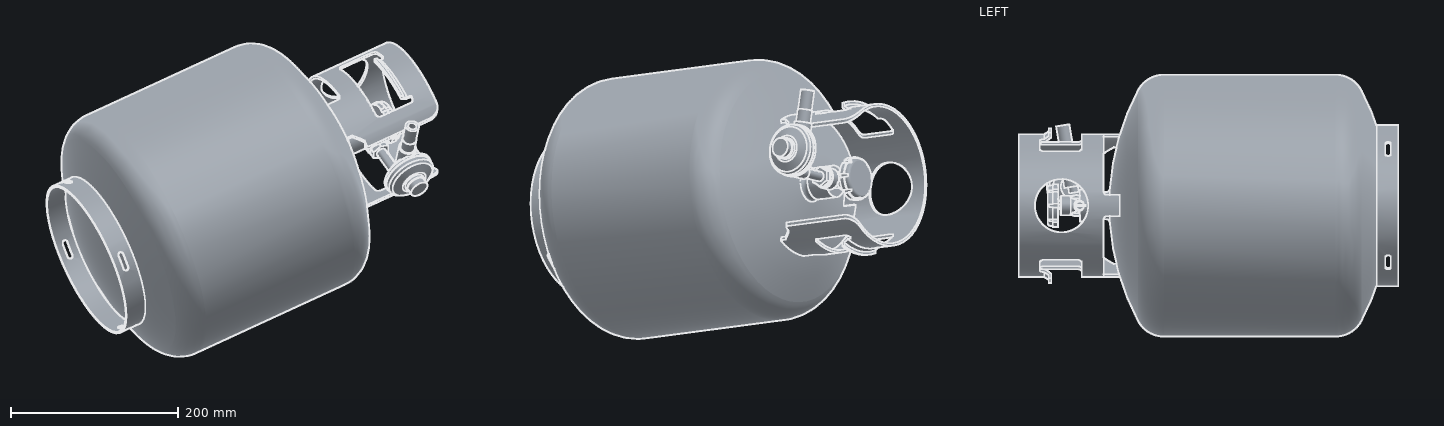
import cadquery as cq
import math

TOTAL_LENGTH = 453.5

TANK_DIAMETER = 313.5
TANK_R = TANK_DIAMETER / 2
SHELL_BOTTOM = 75.3
SHELL_TOP = 279.7
KNUCKLE_R = 35.5
CROWN_R = 294.0
BOSS_R = 16.5
BOSS_TOP = 353.5
BOSS_FILLET = 4.5

FOOT_R = 96.5
FOOT_WALL = 2.3
FOOT_SLOT_LENGTH = 23.5
FOOT_SLOT_HEIGHT = 6.5
FOOT_SLOT_Y = 12.2
FOOT_SLOT_ANGLES = (45, 135, 225, 315)

COLLAR_DIAMETER = 171.0
COLLAR_R = COLLAR_DIAMETER / 2
COLLAR_END_ANGLE = 45
COLLAR_WALL = 3.0
COLLAR_BOTTOM = 352.0
COLLAR_END_X = COLLAR_R * math.sin(math.radians(COLLAR_END_ANGLE))
COLLAR_CORNER_X = 10.5
COLLAR_CORNER_Y = 15.5
LEG_BOTTOM = 326.5
SIDE_LEG_LEFT = -2.0
SIDE_LEG_RIGHT = 44.5
LEG_FLARE_X = 9.5
LEG_FLARE_Y = 12.0
REAR_LEG_WIDTH = 25.5
LEG_FILLET = 3.5
SIDE_LEG_FILLET = 5.5
COLLAR_LOWER_FILLET = 2.3
REAR_HOLE_R = 31.7
REAR_HOLE_Y = 402.0
WINDOW_LEFT = -55.8
WINDOW_RIGHT = 39.0
WINDOW_BOTTOM = 378.0
WINDOW_TOP = 428.5
WINDOW_FILLET = 5.0
LIP_ROOT_FILLET = 2.0

LIP_HALF_WIDTH = 31.7
LIP_BEND_Y = 423.0
LIP_R = 92.5
LIP_TOP = 417.5
LIP_THICKNESS = 3.0
LIP_SLOPE_R = 89.0

VALVE_BASE_R = 19.0
VALVE_BASE_TOP = 380.5
VALVE_CAP_R = 12.0
VALVE_CAP_BOTTOM = 391.5
VALVE_CAP_TOP = 404.0
VALVE_CAP_CHAMFER = 1.5
VALVE_CONE_TOP_R = 10.0
VALVE_CONE_BOTTOM_R = 4.5
STEM_R = 2.0
PLUG_R = 7.0
PLUG_CHAMFER = 2.0
PLUG_END_X = -19.0
PLUG_SLOT_WIDTH = 2.0
PLUG_SLOT_DEPTH = 1.5
OUTLET_Y = 384.5
OUTLET_NECK_R = 9.0
OUTLET_R = 12.5
OUTLET_START_X = 14.5
OUTLET_END_X = 30.0
OUTLET_RIM_R = 12.0
OUTLET_RIM_LENGTH = 3.5

WHEEL_R = 26.0
WHEEL_BOTTOM = 406.2
WHEEL_STEP = 412.5
WHEEL_TOP = 419.0
WHEEL_TOP_R = 24.5
WHEEL_TOP_FILLET = 3.5
NOTCH_COUNT = 8
NOTCH_R = 2.3

REG_Y = 388.5
REG_Z = 22.5
HEX_ACROSS_CORNERS = 23.5
HEX_END_X = 36.3
TUBE_R = 6.0
ELBOW_R = 7.5
ELBOW_START_X = 67.0
ELBOW_END_X = 92.0
DOME_X = 82.0
DOME_R = 14.5
DOME_MID_X = 86.0
DOME_MID_R = 23.5
DOME_END_R = 28.0
RIM_START_X = 92.0
RIM_END_X = 101.5
RIM_R = 31.5
RIM_STEP_X = 95.5
RIM_STEP_R = 30.5
RIM_CHAMFER_X = 104.7
RIM_CHAMFER_R = 27.0
CONE_END_X = 109.3
CONE_END_R = 16.0
CAP_R = 11.5
CAP_BASE_R = 12.5
CAP_BASE_END_X = 113.5
CAP_END_X = 121.5
BARB_X = 83.0
BARB_TILT = 9.5
BARB_STEPS = ((10.5, 35.5), (8.5, 51.0), (7.3, 71.5), (8.0, 74.5))
BARB_TAIL_R = 6.0
BARB_TAIL_LENGTH = 7.3
BARB_BORE_R = 5.0
BARB_BORE_DEPTH = 13.5


def cylinder_y(radius, bottom, top):
    """Cylinder about the tank axis between two Y levels."""
    return cq.Workplane("XZ", origin=(0, bottom, 0)).circle(radius).extrude(bottom - top)


def cylinder_x(radius, start, end, y):
    """Cylinder parallel to X, in the plane Z = 0, between two X positions."""
    return cq.Workplane("YZ", origin=(start, y, 0)).circle(radius).extrude(end - start)


def plate_z(points):
    """Outline in the XY plane, thick enough to span the whole part along Z."""
    return cq.Workplane("XY", origin=(0, 0, -TANK_R)).polyline(points).close().extrude(2 * TANK_R)


def round_corners(plate, corners, radius):
    """Round the Z-parallel edges of a plate that stand at the given XY corners."""
    for x, y in corners:
        plate = plate.edges("|Z").edges(cq.selectors.NearestToPointSelector((x, y, 0))).fillet(radius)
    return plate


def make_tank():
    knuckle_centre_r = TANK_R - KNUCKLE_R
    tangent_sin = knuckle_centre_r / (CROWN_R - KNUCKLE_R)
    tangent_cos = math.sqrt(1 - tangent_sin**2)
    tangent_r = CROWN_R * tangent_sin
    tangent_rise = KNUCKLE_R * tangent_cos
    crown_rise = tangent_rise + CROWN_R * (1 - tangent_cos)
    half_angle = math.asin(tangent_sin) / 2
    crown_mid_r = CROWN_R * math.sin(half_angle)
    crown_mid_rise = crown_rise - CROWN_R * (1 - math.cos(half_angle))
    knuckle_mid_angle = math.atan2(tangent_cos, tangent_sin) / 2
    knuckle_mid_r = knuckle_centre_r + KNUCKLE_R * math.cos(knuckle_mid_angle)
    knuckle_mid_rise = KNUCKLE_R * math.sin(knuckle_mid_angle)
    shell = (
        cq.Workplane("XY")
        .moveTo(0, SHELL_BOTTOM - crown_rise)
        .threePointArc((crown_mid_r, SHELL_BOTTOM - crown_mid_rise), (tangent_r, SHELL_BOTTOM - tangent_rise))
        .threePointArc((knuckle_mid_r, SHELL_BOTTOM - knuckle_mid_rise), (TANK_R, SHELL_BOTTOM))
        .lineTo(TANK_R, SHELL_TOP)
        .threePointArc((knuckle_mid_r, SHELL_TOP + knuckle_mid_rise), (tangent_r, SHELL_TOP + tangent_rise))
        .threePointArc((crown_mid_r, SHELL_TOP + crown_mid_rise), (0, SHELL_TOP + crown_rise))
        .close()
        .revolve(360, (0, 0, 0), (0, 1, 0))
    )
    boss_root_y = SHELL_TOP + crown_rise - (BOSS_R + BOSS_FILLET) ** 2 / (2 * CROWN_R)
    boss = (
        cq.Workplane("XY")
        .moveTo(0, SHELL_TOP)
        .lineTo(BOSS_R + BOSS_FILLET, SHELL_TOP)
        .lineTo(BOSS_R + BOSS_FILLET, boss_root_y)
        .radiusArc((BOSS_R, boss_root_y + BOSS_FILLET), BOSS_FILLET)
        .lineTo(BOSS_R, BOSS_TOP)
        .lineTo(0, BOSS_TOP)
        .close()
        .revolve(360, (0, 0, 0), (0, 1, 0))
    )
    return shell.union(boss)


def make_foot(tank):
    foot = cylinder_y(FOOT_R, 0, SHELL_BOTTOM / 2).cut(cylinder_y(FOOT_R - FOOT_WALL, 0, SHELL_BOTTOM / 2))
    slot = (
        cq.Workplane("XY", origin=(0, FOOT_SLOT_Y, 0))
        .slot2D(FOOT_SLOT_LENGTH, FOOT_SLOT_HEIGHT)
        .extrude(TANK_R)
    )
    for angle in FOOT_SLOT_ANGLES:
        foot = foot.cut(slot.rotate((0, 0, 0), (0, 1, 0), angle))
    return foot.cut(tank)


def make_collar_band():
    """Prism holding the collar wall and its two side legs, with rounded corners at the open end."""
    band = plate_z(
        [
            (-TANK_R, TOTAL_LENGTH),
            (COLLAR_END_X, TOTAL_LENGTH),
            (COLLAR_END_X, COLLAR_BOTTOM),
            (SIDE_LEG_RIGHT + LEG_FLARE_X, COLLAR_BOTTOM),
            (SIDE_LEG_RIGHT, COLLAR_BOTTOM - LEG_FLARE_Y),
            (SIDE_LEG_RIGHT, LEG_BOTTOM),
            (SIDE_LEG_LEFT, LEG_BOTTOM),
            (SIDE_LEG_LEFT, COLLAR_BOTTOM),
            (-TANK_R, COLLAR_BOTTOM),
        ]
    )
    band = round_corners(band, [(SIDE_LEG_LEFT, COLLAR_BOTTOM)], SIDE_LEG_FILLET)
    band = round_corners(band, [(COLLAR_END_X, COLLAR_BOTTOM)], COLLAR_LOWER_FILLET)
    corner_x = COLLAR_END_X - COLLAR_CORNER_X
    corner_y = TOTAL_LENGTH - COLLAR_CORNER_Y
    corner = plate_z(
        [
            (corner_x, corner_y),
            (COLLAR_END_X, corner_y),
            (COLLAR_END_X, TOTAL_LENGTH),
            (corner_x, TOTAL_LENGTH),
        ]
    )
    rounding = (
        cq.Workplane("XY", origin=(corner_x, corner_y, -TANK_R))
        .ellipse(COLLAR_CORNER_X, COLLAR_CORNER_Y)
        .extrude(2 * TANK_R)
    )
    return band.cut(corner.cut(rounding))


def make_rear_leg():
    """Leg at -X, flaring into the lower edge of the collar."""
    half_width = REAR_LEG_WIDTH / 2
    flare_half_width = half_width + LEG_FILLET
    return (
        cq.Workplane("YZ")
        .moveTo(LEG_BOTTOM, -half_width)
        .lineTo(COLLAR_BOTTOM - LEG_FILLET, -half_width)
        .radiusArc((COLLAR_BOTTOM, -flare_half_width), LEG_FILLET)
        .lineTo(COLLAR_BOTTOM, flare_half_width)
        .radiusArc((COLLAR_BOTTOM - LEG_FILLET, half_width), LEG_FILLET)
        .lineTo(LEG_BOTTOM, half_width)
        .close()
        .extrude(-COLLAR_R)
    )


def make_window():
    """Cutter for the two side windows; its upper edge is notched to leave the root of the lip."""
    lower_corners = [(WINDOW_LEFT, WINDOW_BOTTOM), (WINDOW_RIGHT, WINDOW_BOTTOM)]
    right_corner = (WINDOW_RIGHT, WINDOW_TOP)
    lip_right = (LIP_HALF_WIDTH, WINDOW_TOP)
    lip_left = (-LIP_HALF_WIDTH, WINDOW_TOP)
    left_corner = (WINDOW_LEFT, WINDOW_TOP)
    lip_bend = [(LIP_HALF_WIDTH, LIP_BEND_Y), (-LIP_HALF_WIDTH, LIP_BEND_Y)]
    window = plate_z([*lower_corners, right_corner, lip_right, *lip_bend, lip_left, left_corner])
    window = round_corners(window, [*lower_corners, right_corner, lip_left, left_corner], WINDOW_FILLET)
    return round_corners(window, [lip_right], LIP_ROOT_FILLET)


def make_collar(tank):
    inner_r = COLLAR_R - COLLAR_WALL
    ring = cylinder_y(COLLAR_R, LEG_BOTTOM, TOTAL_LENGTH).cut(cylinder_y(inner_r, LEG_BOTTOM, TOTAL_LENGTH))
    collar = ring.intersect(make_collar_band().union(make_rear_leg()))
    collar = collar.cut(cylinder_x(REAR_HOLE_R, -TANK_R, 0, REAR_HOLE_Y))
    return collar.cut(make_window()).union(make_lips()).cut(tank)


def make_lips():
    inner_r = COLLAR_R - COLLAR_WALL
    lip_ring = (
        cq.Workplane("XY")
        .polyline(
            [
                (inner_r, WINDOW_TOP),
                (COLLAR_R, WINDOW_TOP),
                (COLLAR_R, LIP_BEND_Y),
                (LIP_SLOPE_R, LIP_TOP),
                (LIP_R, LIP_TOP),
                (LIP_R, LIP_TOP - LIP_THICKNESS),
                (LIP_SLOPE_R - LIP_THICKNESS / 2, LIP_TOP - LIP_THICKNESS),
                (inner_r, LIP_BEND_Y - LIP_THICKNESS / 2),
            ]
        )
        .close()
        .revolve(360, (0, 0, 0), (0, 1, 0))
    )
    return lip_ring.intersect(cq.Workplane("XY").box(2 * LIP_HALF_WIDTH, 2 * TOTAL_LENGTH, 2 * TANK_R))


def make_valve():
    base = cylinder_y(VALVE_BASE_R, BOSS_TOP, VALVE_BASE_TOP)
    body = (
        cq.Workplane("XY")
        .polyline(
            [
                (0, BOSS_TOP),
                (VALVE_CONE_BOTTOM_R, BOSS_TOP),
                (VALVE_CONE_BOTTOM_R, VALVE_BASE_TOP),
                (VALVE_CONE_TOP_R, VALVE_CAP_BOTTOM),
                (VALVE_CAP_R, VALVE_CAP_BOTTOM),
                (VALVE_CAP_R, VALVE_CAP_TOP - VALVE_CAP_CHAMFER),
                (VALVE_CAP_R - VALVE_CAP_CHAMFER, VALVE_CAP_TOP),
                (STEM_R, VALVE_CAP_TOP),
                (STEM_R, WHEEL_BOTTOM),
                (0, WHEEL_BOTTOM),
            ]
        )
        .close()
        .revolve(360, (0, 0, 0), (0, 1, 0))
    )
    plug = cylinder_x(PLUG_R, PLUG_END_X, 0, VALVE_BASE_TOP).faces("<X").edges().chamfer(PLUG_CHAMFER)
    screw_slot = cq.Workplane("XY", origin=(PLUG_END_X, VALVE_BASE_TOP, 0)).box(
        2 * PLUG_SLOT_DEPTH, 2 * PLUG_R, PLUG_SLOT_WIDTH
    )
    outlet = cylinder_x(OUTLET_NECK_R, 0, OUTLET_START_X, OUTLET_Y)
    outlet = outlet.union(cylinder_x(OUTLET_R, OUTLET_START_X, OUTLET_END_X - OUTLET_RIM_LENGTH, OUTLET_Y))
    outlet = outlet.union(cylinder_x(OUTLET_RIM_R, OUTLET_START_X, OUTLET_END_X, OUTLET_Y))
    return base.union(body).union(plug).union(outlet).cut(screw_slot)


def make_handwheel():
    wheel = cylinder_y(WHEEL_TOP_R, WHEEL_BOTTOM, WHEEL_TOP).faces(">Y").edges().fillet(WHEEL_TOP_FILLET)
    wheel = wheel.union(cylinder_y(WHEEL_R, WHEEL_BOTTOM, WHEEL_STEP))
    notch = cylinder_y(NOTCH_R, WHEEL_BOTTOM, WHEEL_TOP).translate((WHEEL_R, 0, 0))
    for index in range(NOTCH_COUNT):
        wheel = wheel.cut(notch.rotate((0, 0, 0), (0, 1, 0), index * 360 / NOTCH_COUNT))
    return wheel


def make_regulator():
    inlet = (
        cq.Workplane("YZ", origin=(OUTLET_END_X, OUTLET_Y, 0))
        .transformed(rotate=(0, 0, 90))
        .polygon(6, HEX_ACROSS_CORNERS)
        .extrude(HEX_END_X - OUTLET_END_X)
    )
    inlet = inlet.union(cylinder_x(TUBE_R, OUTLET_END_X, ELBOW_START_X, OUTLET_Y))
    inlet = inlet.union(cylinder_x(ELBOW_R, ELBOW_START_X, ELBOW_END_X, OUTLET_Y))
    housing = (
        cq.Workplane("XY")
        .polyline(
            [
                (DOME_X, 0),
                (DOME_X, DOME_R),
                (DOME_MID_X, DOME_MID_R),
                (RIM_START_X, DOME_END_R),
                (RIM_START_X, RIM_R),
                (RIM_STEP_X, RIM_R),
                (RIM_STEP_X, RIM_STEP_R),
                (RIM_END_X, RIM_STEP_R),
                (RIM_CHAMFER_X, RIM_CHAMFER_R),
                (CONE_END_X, CONE_END_R),
                (CONE_END_X, CAP_BASE_R),
                (CAP_BASE_END_X, CAP_BASE_R),
                (CAP_BASE_END_X, CAP_R),
                (CAP_END_X, CAP_R),
                (CAP_END_X, 0),
            ]
        )
        .close()
        .revolve(360, (0, 0, 0), (1, 0, 0))
        .translate((0, REG_Y, REG_Z))
    )
    barb = cq.Workplane("XY").circle(BARB_TAIL_R).extrude(-BARB_TAIL_LENGTH)
    for radius, reach in BARB_STEPS:
        barb = barb.union(cq.Workplane("XY").circle(radius).extrude(reach))
    barb = barb.faces(">Z").workplane().hole(2 * BARB_BORE_R, BARB_BORE_DEPTH)
    barb = barb.rotate((0, 0, 0), (1, 0, 0), -BARB_TILT).translate((BARB_X, REG_Y, REG_Z))
    return inlet.union(housing).union(barb)


tank = make_tank()
foot = make_foot(tank)
collar = make_collar(tank)
valve = make_valve()
handwheel = make_handwheel()
regulator = make_regulator()

bodies = (tank, foot, collar, valve, handwheel, regulator)
result = cq.Compound.makeCompound([body.solids().val() for body in bodies])